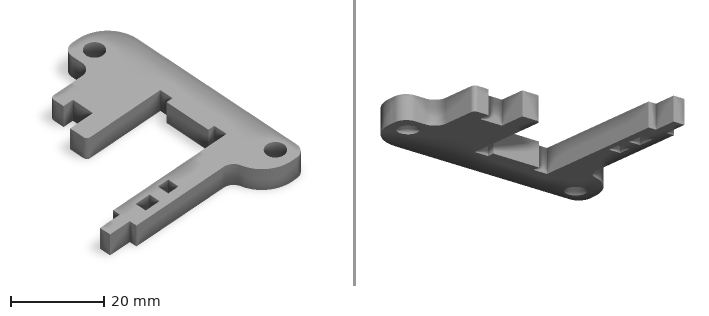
import cadquery as cq
import math

length = 60.0
depth = 48.61
thickness = 6.0

large_radius = 9.0
small_radius = 3.0
left_end_depth = 13.8
right_arc_depth = 4.5

hole_diameter = 5.0
hole_inset = 5.0
left_hole_depth = large_radius
right_hole_depth = 4.45

short_leg_left = 9.0
short_leg_right = 24.05
short_leg_depth = 30.5
toe_depth = 26.45
notch_left = 13.0
notch_right = 19.0
notch_top_depth = 23.6
leg_corner_radius = 1.0

opening_depth = 8.2
tab_width = 12.6
tab_depth = 10.0

long_leg_left = 44.0
long_leg_right = 51.0
tip_width = 3.0
tip_length = 6.0

square_window_left = 45.45
square_window_size = 3.1
square_window_top_depth = 27.4
slot_window_height = 4.2
slot_window_top_depth = 33.6

long_leg_bottom = tip_length - depth
long_leg_center = (long_leg_left + long_leg_right) / 2
tip_left = long_leg_center - tip_width / 2
tip_right = long_leg_center + tip_width / 2
opening_center = (short_leg_right + long_leg_left) / 2
tab_left = opening_center - tab_width / 2
tab_right = opening_center + tab_width / 2


def corner_arc(path, center, radius, mid_angle, end_angle):
    """Extend the path along a circle through mid_angle to end_angle (degrees)."""
    def on_circle(angle):
        turn = math.radians(angle)
        return (center[0] + radius * math.cos(turn), center[1] + radius * math.sin(turn))
    return path.threePointArc(on_circle(mid_angle), on_circle(end_angle))


def right_end(path):
    """Round the right end and blend it into the outer side of the long leg."""
    arc_center = (length - large_radius, -right_arc_depth)
    blend_x = long_leg_right + small_radius
    center_distance = large_radius + small_radius
    offset_x = blend_x - arc_center[0]
    offset_y = math.sqrt(center_distance**2 - offset_x**2)
    blend_center = (blend_x, arc_center[1] - offset_y)
    meet_angle = -math.degrees(math.atan2(offset_y, offset_x))
    blend_start = meet_angle + 180

    path = path.lineTo(length - small_radius, 0)
    path = corner_arc(path, (length - small_radius, -small_radius), small_radius, 45, 0)
    path = path.lineTo(length, arc_center[1])
    path = corner_arc(path, arc_center, large_radius, meet_angle / 2, meet_angle)
    return corner_arc(path, blend_center, small_radius, (blend_start + 180) / 2, 180)


def long_leg(path):
    """Trace the stepped tip of the long leg and climb to the opening."""
    return (
        path.lineTo(long_leg_right, long_leg_bottom)
        .lineTo(tip_right, long_leg_bottom)
        .lineTo(tip_right, -depth)
        .lineTo(tip_left, -depth)
        .lineTo(tip_left, long_leg_bottom)
        .lineTo(long_leg_left, long_leg_bottom)
        .lineTo(long_leg_left, -opening_depth)
    )


def opening_edge(path):
    """Trace the upper edge of the opening around its tab."""
    return (
        path.lineTo(tab_right, -opening_depth)
        .lineTo(tab_right, -tab_depth)
        .lineTo(tab_left, -tab_depth)
        .lineTo(tab_left, -opening_depth)
        .lineTo(short_leg_right, -opening_depth)
    )


def short_leg(path):
    """Trace the short leg with its two rounded outer corners and the notch."""
    inner_corner = (short_leg_right - leg_corner_radius, leg_corner_radius - short_leg_depth)
    outer_corner = (short_leg_left + leg_corner_radius, leg_corner_radius - toe_depth)

    path = path.lineTo(short_leg_right, inner_corner[1])
    path = corner_arc(path, inner_corner, leg_corner_radius, -45, -90)
    path = (
        path.lineTo(notch_right, -short_leg_depth)
        .lineTo(notch_right, -notch_top_depth)
        .lineTo(notch_left, -notch_top_depth)
        .lineTo(notch_left, -toe_depth)
        .lineTo(outer_corner[0], -toe_depth)
    )
    return corner_arc(path, outer_corner, leg_corner_radius, 225, 180)


def left_end(path):
    """Blend out of the short leg and round the left end back to the top edge."""
    blend_center = (short_leg_left - small_radius, -left_end_depth - small_radius)
    lower_center = (small_radius, small_radius - left_end_depth)

    path = path.lineTo(short_leg_left, blend_center[1])
    path = corner_arc(path, blend_center, small_radius, 45, 90)
    path = path.lineTo(lower_center[0], -left_end_depth)
    path = corner_arc(path, lower_center, small_radius, 225, 180)
    path = path.lineTo(0, -large_radius)
    return corner_arc(path, (large_radius, -large_radius), large_radius, 135, 90)


def plate():
    """Extrude the closed outline to the plate thickness."""
    path = cq.Workplane("XY").moveTo(large_radius, 0)
    for section in (right_end, long_leg, opening_edge, short_leg, left_end):
        path = section(path)
    return path.close().extrude(thickness)


def mounting_holes():
    """Cylinders for the two screw holes."""
    centers = [(hole_inset, -left_hole_depth), (length - hole_inset, -right_hole_depth)]
    return cq.Workplane("XY").pushPoints(centers).circle(hole_diameter / 2).extrude(thickness)


def window(left, top_depth, width, height):
    """Rectangular block for a window through the long leg."""
    block = cq.Workplane("XY").box(width, height, thickness, centered=False)
    return block.translate((left, -top_depth - height, 0))


result = (
    plate()
    .cut(mounting_holes())
    .cut(window(square_window_left, square_window_top_depth, square_window_size, square_window_size))
    .cut(window(tip_left, slot_window_top_depth, tip_width, slot_window_height))
)